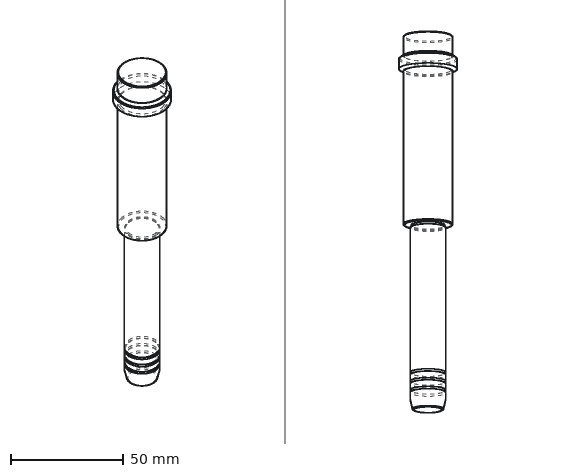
import cadquery as cq

total_length = 170.0

collar_diameter = 26.0
body_diameter = 22.0
head_length = 10.0
collar_thickness = 5.0
collar_chamfer = 0.5
body_length = 71.0
head_chamfer = 0.5
body_chamfer = 0.5

groove_width = 1.0
groove_depth = 0.5
groove_floor_radius = 0.3

pin_diameter = 16.0
neck_length = 1.0
neck_depth = 0.5

tip_length = 5.0
tip_diameter = 13.7
tip_chamfer = 0.5

groove_count = 3
groove_pitch = 4.0
first_groove_offset = 3.0

collar_top = total_length - head_length
collar_bottom = collar_top - collar_thickness
body_bottom = collar_bottom - body_length
neck_bottom = body_bottom - neck_length
first_groove_bottom = tip_length + first_groove_offset


def cylinder(diameter, bottom, top):
    """Solid cylinder on the Z axis between two levels."""
    return cq.Workplane("XY").workplane(offset=bottom).circle(diameter / 2).extrude(top - bottom)


def rounded_groove_cutter(diameter, bottom):
    """Ring that cuts a groove with straight walls and rounded floor corners into a cylinder."""
    radius = diameter / 2
    return (
        cq.Workplane("XZ")
        .moveTo(radius - groove_depth, bottom)
        .lineTo(radius + groove_depth, bottom)
        .lineTo(radius + groove_depth, bottom + groove_width)
        .lineTo(radius - groove_depth, bottom + groove_width)
        .close()
        .revolve(360, (0, 0, 0), (0, 1, 0))
        .edges(cq.selectors.RadiusNthSelector(0))
        .fillet(groove_floor_radius)
    )


def make_body():
    """Chamfered body and head with the collar around them and an undercut on each side of it."""
    body = cylinder(body_diameter, body_bottom, total_length)
    body = body.faces(">Z").chamfer(head_chamfer)
    body = body.faces("<Z").chamfer(body_chamfer)
    collar = cylinder(collar_diameter, collar_bottom, collar_top)
    body = body.union(collar.faces(">Z").chamfer(collar_chamfer))
    for bottom in (collar_top, collar_bottom - groove_width):
        body = body.cut(rounded_groove_cutter(body_diameter, bottom))
    return body


def make_pin():
    """Pin with a tapered, chamfered tip, a relieved neck and evenly spaced grooves."""
    tip = (
        cq.Workplane("XY")
        .circle(tip_diameter / 2)
        .workplane(offset=tip_length)
        .circle(pin_diameter / 2)
        .loft()
        .faces("<Z")
        .chamfer(tip_chamfer)
    )
    shank = cylinder(pin_diameter, tip_length, neck_bottom)
    neck = cylinder(pin_diameter - 2 * neck_depth, neck_bottom, body_bottom)
    pin = tip.union(shank).union(neck)
    for index in range(groove_count):
        bottom = first_groove_bottom + index * groove_pitch
        pin = pin.cut(rounded_groove_cutter(pin_diameter, bottom))
    return pin


result = make_body().union(make_pin())